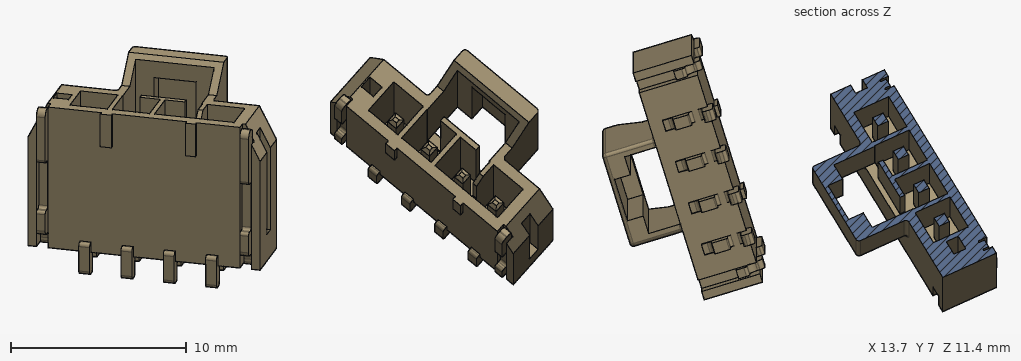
import cadquery as cq

HOUSING_LENGTH = 13.74
HOUSING_DEPTH = 3.48
HOUSING_HEIGHT = 8.65
END_SLOPE_RUN = 1.02
END_SLOPE_DROP = 1.96

CONTACT_COUNT = 4
PITCH = 2.5
ROW_CENTER = 0.3
CAVITY_SIZE = 2.21
CAVITY_FRONT = 0.63
CAVITY_BACK = CAVITY_FRONT + CAVITY_SIZE
CAVITY_CENTER = CAVITY_FRONT + CAVITY_SIZE / 2
FLOOR = 1.65

CONTACT_WIDTH = 0.65
PIN_SIZE = 0.69
PIN_TIP_WIDTH = 0.3
PIN_TIP_DEPTH = 0.23
PIN_TOP = 6.18
PIN_TAPER = 0.2
SOLDER_FACE = -0.32
LEAD_BACK = 0.33
LEAD_TOP = 0.63
LEAD_BOTTOM = -1.3
LEAD_ROUND = 0.22
PRONG_FRONT = 1.13
PRONG_BACK = 2.07
PRONG_BOTTOM = -0.75
PRONG_FRONT_FILLET = 0.19
PRONG_BACK_FILLET = 0.26
PRONG_TIP_ROUND = 0.07
FOOT_BACK = 2.68
FOOT_BOTTOM = -0.14
FOOT_TOP = 0.27

LATCH_LEFT = -2.53
LATCH_RIGHT = 3.1
LATCH_WALL = 0.5
LATCH_BACK = 6.68
LATCH_INNER_BACK = 5.47
LATCH_TOP = 10.13
LATCH_BOTTOM = 1.99
LATCH_SLOPE_RISE = LATCH_TOP - HOUSING_HEIGHT
LATCH_SLOPE_TOP_Y = 5.75
LATCH_ROUND = 0.2
LATCH_BASE_ROUND = 0.19
CATCH_TOP = 8.85
CATCH_DEPTH = 0.93

SCREEN_LENGTH = 2.67
SCREEN_CENTER = 0.29
SCREEN_THICKNESS = 0.32

NOTCH_BACK = 1.94
NOTCH_SLOPE = 0.58
NOTCH_FLOOR = 5.5

RIB_DEPTH = 0.22
RIB_BOTTOM = 6.65
LEFT_RIB_WIDTH = 0.66
RIGHT_RIB_WIDTH = 0.59

POCKET_LENGTH = 0.9
POCKET_FRONT = 1.43
POCKET_WIDTH = 0.74
LEFT_POCKET_START = -5.77
RIGHT_POCKET_START = 6.27

CLIP_CENTER = 6.02
CLIP_WIDTH = 0.52
CHANNEL_WIDTH = 0.69
CHANNEL_DEPTH = 0.55
SLOT_HEIGHT = 0.99
CLIP_TOP = 8.52
CLIP_WEB_FRONT = 0.19
CLIP_UPPER_PAD_BOTTOM = 5.28
CLIP_LOWER_PAD_TOP = 2.32
CLIP_LOWER_PAD_BOTTOM = 0.84
CLIP_LEG_FRONT = 0.58
CLIP_LEG_BACK = 1.24
CLIP_HOOK_ROUND = 0.41
CLIP_SOFT_ROUND = 0.18
CLIP_TIGHT_ROUND = 0.12
CLIP_HEEL_ROUND = 0.29
CLIP_LEG_FILLET = 0.47
CLIP_LEG_ROUND = 0.19


def block(x0, x1, y0, y1, z0, z1):
    """Box between two opposite corners."""
    return cq.Workplane("XY").box(x1 - x0, y1 - y0, z1 - z0, centered=False).translate((x0, y0, z0))


def side_profile(corners, x_center, width):
    """Extrude a (y, z, radius) outline along X, rounding corners whose radius is not zero."""
    outline = [(y, z) for y, z, _ in corners]
    solid = cq.Workplane("YZ").polyline(outline).close().extrude(width / 2, both=True)
    for y, z, radius in corners:
        if radius:
            edge = solid.edges("|X").edges(cq.selectors.NearestToPointSelector((0, y, z)))
            solid = edge.fillet(radius)
    return solid.translate((x_center, 0, 0))


def make_housing():
    half = HOUSING_LENGTH / 2
    shoulder = HOUSING_HEIGHT - END_SLOPE_DROP
    outline = [
        (-half, 0),
        (half, 0),
        (half, shoulder),
        (half - END_SLOPE_RUN, HOUSING_HEIGHT),
        (END_SLOPE_RUN - half, HOUSING_HEIGHT),
        (-half, shoulder),
    ]
    return cq.Workplane("XZ").polyline(outline).close().extrude(-HOUSING_DEPTH)


def make_latch():
    """Solid latch block with rounded outer edges; its front is buried in the housing."""
    slope_foot_y = LATCH_SLOPE_TOP_Y - LATCH_SLOPE_RISE
    corners = [
        (CAVITY_BACK, LATCH_BOTTOM, 0),
        (LATCH_BACK, LATCH_BOTTOM, 0),
        (LATCH_BACK, LATCH_TOP, 0),
        (LATCH_SLOPE_TOP_Y, LATCH_TOP, 0),
        (slope_foot_y, HOUSING_HEIGHT, 0),
        (CAVITY_BACK, HOUSING_HEIGHT, 0),
    ]
    latch = side_profile(corners, (LATCH_LEFT + LATCH_RIGHT) / 2, LATCH_RIGHT - LATCH_LEFT)
    return latch.edges("(>Y and |Z) or (<Z and (not <Y))").fillet(LATCH_ROUND)


def round_latch_base(body):
    """Fillet the corner where the latch sides and underside meet the back of the housing."""
    margin = LATCH_BASE_ROUND
    corner = cq.selectors.BoxSelector(
        (LATCH_LEFT - margin, HOUSING_DEPTH - margin / 2, LATCH_BOTTOM - margin),
        (LATCH_RIGHT + margin, HOUSING_DEPTH + margin / 2, HOUSING_HEIGHT - margin),
    )
    return body.edges(corner).fillet(LATCH_BASE_ROUND)


def make_latch_opening():
    """Space inside the latch frame, joined to the cavities but for the screen wall."""
    left = LATCH_LEFT + LATCH_WALL
    right = LATCH_RIGHT - LATCH_WALL
    opening = block(left, right, HOUSING_DEPTH, LATCH_INNER_BACK, 0, LATCH_TOP)
    passage = block(left, right, CAVITY_BACK, HOUSING_DEPTH, LATCH_BOTTOM, LATCH_TOP)
    screen = block(
        SCREEN_CENTER - SCREEN_LENGTH / 2,
        SCREEN_CENTER + SCREEN_LENGTH / 2,
        CAVITY_BACK,
        CAVITY_BACK + SCREEN_THICKNESS,
        LATCH_BOTTOM,
        HOUSING_HEIGHT,
    )
    catch = block(
        ROW_CENTER - PITCH / 2,
        ROW_CENTER + PITCH / 2,
        LATCH_INNER_BACK,
        LATCH_INNER_BACK + CATCH_DEPTH,
        0,
        CATCH_TOP,
    )
    return opening.union(passage.cut(screen)).union(catch)


def make_partition_notch(x_center):
    slope_end = NOTCH_BACK - NOTCH_SLOPE
    corners = [
        (NOTCH_BACK, HOUSING_HEIGHT, 0),
        (slope_end, HOUSING_HEIGHT - NOTCH_SLOPE, 0),
        (slope_end, NOTCH_FLOOR, 0),
        (CAVITY_FRONT, NOTCH_FLOOR, 0),
        (CAVITY_FRONT, HOUSING_HEIGHT, 0),
    ]
    return side_profile(corners, x_center, PITCH - CAVITY_SIZE)


def make_pin(x):
    """Square pin with a pyramid tip, rooted in the cavity floor."""
    shank_top = PIN_TOP - PIN_TAPER
    shank = (
        cq.Workplane("XY", origin=(x, CAVITY_CENTER, FLOOR))
        .rect(CONTACT_WIDTH, PIN_SIZE)
        .extrude(shank_top - FLOOR)
    )
    tip = (
        cq.Workplane("XY", origin=(x, CAVITY_CENTER, shank_top))
        .rect(CONTACT_WIDTH, PIN_SIZE)
        .workplane(offset=PIN_TAPER)
        .rect(PIN_TIP_WIDTH, PIN_TIP_DEPTH)
        .loft()
    )
    return shank.union(tip)


def make_lead(x):
    """Solder lead at the front, joined by a foot under the housing to a short prong."""
    corners = [
        (SOLDER_FACE, LEAD_TOP, LEAD_ROUND),
        (SOLDER_FACE, LEAD_BOTTOM, LEAD_ROUND),
        (LEAD_BACK, LEAD_BOTTOM, LEAD_ROUND),
        (LEAD_BACK, 0, LEAD_ROUND),
        (PRONG_FRONT, 0, PRONG_FRONT_FILLET),
        (PRONG_FRONT, PRONG_BOTTOM, PRONG_TIP_ROUND),
        (PRONG_BACK, PRONG_BOTTOM, 0),
        (PRONG_BACK, FOOT_BOTTOM, PRONG_BACK_FILLET),
        (FOOT_BACK, FOOT_BOTTOM, 0),
        (FOOT_BACK, FOOT_TOP, 0),
        (LEAD_BACK, FOOT_TOP, 0),
        (LEAD_BACK, LEAD_TOP, 0),
    ]
    return side_profile(corners, x, CONTACT_WIDTH)


def make_clip(x):
    """Solder clip: hooked upper pad, recessed web, lower pad and a leg down to the underside."""
    corners = [
        (SOLDER_FACE, CLIP_TOP, CLIP_HOOK_ROUND),
        (SOLDER_FACE, CLIP_UPPER_PAD_BOTTOM, CLIP_SOFT_ROUND),
        (CLIP_WEB_FRONT, CLIP_UPPER_PAD_BOTTOM, CLIP_TIGHT_ROUND),
        (CLIP_WEB_FRONT, CLIP_LOWER_PAD_TOP, CLIP_SOFT_ROUND),
        (SOLDER_FACE, CLIP_LOWER_PAD_TOP, CLIP_SOFT_ROUND),
        (SOLDER_FACE, CLIP_LOWER_PAD_BOTTOM, CLIP_HEEL_ROUND),
        (CLIP_LEG_FRONT, CLIP_LOWER_PAD_BOTTOM, CLIP_LEG_FILLET),
        (CLIP_LEG_FRONT, 0, CLIP_LEG_ROUND),
        (CLIP_LEG_BACK, 0, 0),
        (CLIP_LEG_BACK, SLOT_HEIGHT, 0),
        (CHANNEL_DEPTH, SLOT_HEIGHT, 0),
        (CHANNEL_DEPTH, CLIP_TOP, CLIP_HOOK_ROUND),
    ]
    return side_profile(corners, x, CLIP_WIDTH)


def make_clip_channel(x):
    """Channel up the front face, with a slot through to the back at its lower end."""
    left = x - CHANNEL_WIDTH / 2
    right = x + CHANNEL_WIDTH / 2
    channel = block(left, right, 0, CHANNEL_DEPTH, 0, HOUSING_HEIGHT)
    slot = block(left, right, 0, HOUSING_DEPTH, 0, SLOT_HEIGHT)
    return channel.union(slot)


contact_xs = [ROW_CENTER + PITCH * (i - (CONTACT_COUNT - 1) / 2) for i in range(CONTACT_COUNT)]

result = round_latch_base(make_housing().union(make_latch()))
result = result.cut(make_latch_opening())

for contact_x in contact_xs:
    cavity_left = contact_x - CAVITY_SIZE / 2
    cavity_right = contact_x + CAVITY_SIZE / 2
    result = result.cut(
        block(cavity_left, cavity_right, CAVITY_FRONT, CAVITY_BACK, FLOOR, HOUSING_HEIGHT)
    )
result = result.cut(make_partition_notch(contact_xs[-1] - PITCH / 2))

for pocket_left in (LEFT_POCKET_START, RIGHT_POCKET_START):
    pocket_right = pocket_left + POCKET_LENGTH
    pocket_back = POCKET_FRONT + POCKET_WIDTH
    result = result.cut(
        block(pocket_left, pocket_right, POCKET_FRONT, pocket_back, FLOOR, HOUSING_HEIGHT)
    )

rib_spans = [
    (LATCH_LEFT, LATCH_LEFT + LEFT_RIB_WIDTH),
    (LATCH_RIGHT - RIGHT_RIB_WIDTH, LATCH_RIGHT),
]
for rib_left, rib_right in rib_spans:
    result = result.union(block(rib_left, rib_right, -RIB_DEPTH, 0, RIB_BOTTOM, HOUSING_HEIGHT))

for contact_x in contact_xs:
    result = result.union(make_pin(contact_x)).union(make_lead(contact_x))

for clip_x in (-CLIP_CENTER, CLIP_CENTER):
    result = result.cut(make_clip_channel(clip_x)).union(make_clip(clip_x))